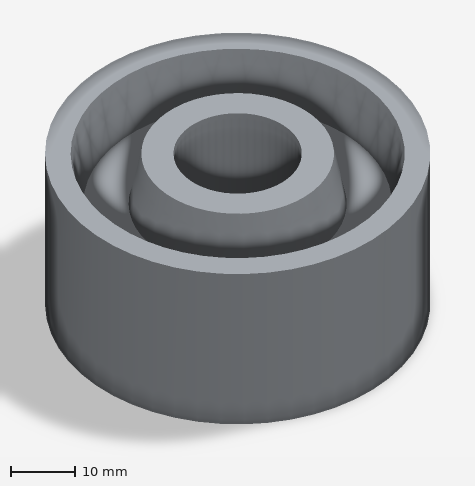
import cadquery as cq

outer_diameter = 60.0
height = 30.0
bore_diameter = 20.0
hub_top_diameter = 30.0
rim_inner_top_diameter = 52.0
groove_depth = 10.0
draft_offset = 2.0

outer_radius = outer_diameter / 2
bore_radius = bore_diameter / 2
hub_top_radius = hub_top_diameter / 2
hub_base_radius = hub_top_radius + draft_offset
rim_inner_top_radius = rim_inner_top_diameter / 2
rim_inner_base_radius = rim_inner_top_radius - draft_offset
groove_floor = height - groove_depth

half_section = (
    cq.Workplane("XZ")
    .moveTo(bore_radius, 0)
    .lineTo(outer_radius, 0)
    .lineTo(outer_radius, height)
    .lineTo(rim_inner_top_radius, height)
    .lineTo(rim_inner_base_radius, groove_floor)
    .lineTo(hub_base_radius, groove_floor)
    .lineTo(hub_top_radius, height)
    .lineTo(bore_radius, height)
    .close()
)

result = half_section.revolve(360, (0, 0, 0), (0, 1, 0))